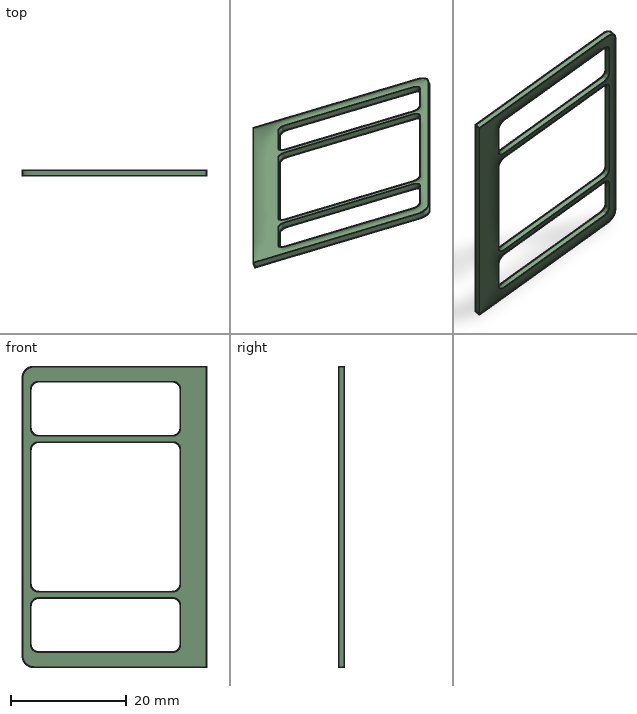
import cadquery as cq

plate_width = 31.88
plate_thickness = 1.0
plate_height = 52.0
plate_corner_radius = 2.0

window_width = 25.8
middle_window_height = window_width
outer_window_height = 9.3
window_corner_radius = 1.3
left_border = 1.5
crossbar_height = 1.15

window_center_x = -plate_width / 2 + left_border + window_width / 2
outer_window_offset = middle_window_height / 2 + crossbar_height + outer_window_height / 2


def make_plate():
    """Rectangular plate with its two -X corners rounded."""
    plate = cq.Workplane("XY").box(plate_width, plate_thickness, plate_height)
    return plate.edges("|Y and <X").fillet(plate_corner_radius)


def make_window(height, center_z):
    """Rounded block that cuts one window through the plate."""
    block = cq.Workplane("XY").box(window_width, plate_thickness, height)
    return block.edges("|Y").fillet(window_corner_radius).translate((window_center_x, 0, center_z))


result = make_plate().cut(make_window(middle_window_height, 0))
for side in (-1, 1):
    result = result.cut(make_window(outer_window_height, side * outer_window_offset))